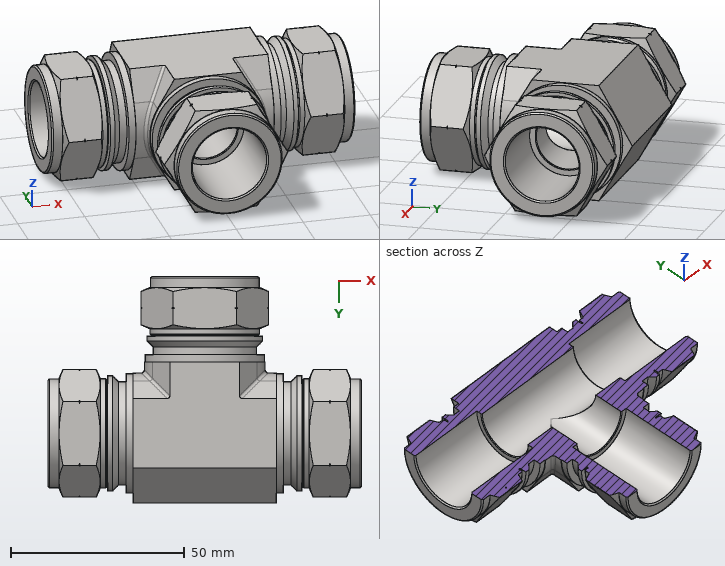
import cadquery as cq
import math

ARM_LENGTH = 45.3

BODY_FLATS = 34.9
BODY_REACH = 20.6
MITRE_FILLET = 0.9

SHOULDER_DIAMETER = 34.5
SHOULDER_END = 22.7
NECK_DIAMETER = 29.9
NECK_END = 24.9
RING_DIAMETER = 33.4
RING_END = 28.1
GROOVE_DIAMETER = 28.6

COLLAR_DIAMETER = 31.7
COLLAR_START = 28.3
COLLAR_CHAMFER = 0.4
NUT_FLATS = 32.0
NUT_START = 30.15
NUT_END = 42.1
NUT_CHAMFER = 1.2
NOTCH_DEPTH = 0.3
NOTCH_WIDTH = 0.4
RIM_DIAMETER = 31.5
RIM_CHAMFER = 0.45

FLOW_DIAMETER = 18.3
FLOW_CHAMFER = 0.3
SOCKET_DIAMETER = 22.2
SOCKET_DEPTH = 25.9
MOUTH_CHAMFER = 0.45

body_radius = BODY_FLATS / 2
body_corner = BODY_FLATS / math.sqrt(3)
nut_corner = NUT_FLATS / math.sqrt(3)


def hexagon_bar(round_both_sides):
    """Bar along +X with flats up and down; its -Y corner, or both side corners, are rounded."""
    tangent_y = body_radius * math.cos(math.radians(30))
    tangent_z = body_radius * math.sin(math.radians(30))
    outline = (
        cq.Workplane("YZ")
        .moveTo(body_corner / 2, body_radius)
        .lineTo(-body_corner / 2, body_radius)
        .lineTo(-tangent_y, tangent_z)
        .threePointArc((-body_radius, 0), (-tangent_y, -tangent_z))
        .lineTo(-body_corner / 2, -body_radius)
        .lineTo(body_corner / 2, -body_radius)
    )
    if round_both_sides:
        outline = outline.lineTo(tangent_y, -tangent_z)
        outline = outline.threePointArc((body_radius, 0), (tangent_y, tangent_z))
    else:
        outline = outline.lineTo(body_corner, 0)
    return outline.close().extrude(BODY_REACH)


def to_branch(shape):
    """Turn an arm that points to +X so that it points to -Y."""
    return shape.rotate((0, 0, 0), (0, 0, 1), -90)


def revolve_arm(points):
    """Revolve a list of (position along the arm, radius) about the X axis."""
    return cq.Workplane("XY").polyline(points).close().revolve(360, (0, 0, 0), (1, 0, 0))


def body():
    """Run and branch bars with filleted inside corners."""
    half_run = hexagon_bar(round_both_sides=False)
    run = half_run.union(half_run.mirror("YZ")).clean()
    branch = to_branch(hexagon_bar(round_both_sides=True))
    tee = run.union(branch)
    inner = body_corner / 2 - MITRE_FILLET
    outer = BODY_REACH - MITRE_FILLET
    for side in (-1, 1):
        beside_branch = cq.selectors.BoxSelector(
            (side * inner, -inner, -BODY_FLATS),
            (side * outer, -outer, BODY_FLATS),
        )
        tee = tee.edges(beside_branch).edges("not(|X or |Y)").fillet(MITRE_FILLET)
    return tee


def turned_end():
    """Shoulder, neck, flared ring and groove between the body and the nut."""
    shoulder = SHOULDER_DIAMETER / 2
    neck = NECK_DIAMETER / 2
    ring = RING_DIAMETER / 2
    groove = GROOVE_DIAMETER / 2
    flare_end = NECK_END + ring - neck
    return revolve_arm([
        (0, 0),
        (0, neck),
        (BODY_REACH, neck),
        (BODY_REACH, shoulder),
        (SHOULDER_END, shoulder),
        (SHOULDER_END, neck),
        (NECK_END, neck),
        (flare_end, ring),
        (RING_END, ring),
        (RING_END, groove),
        (NUT_START, groove),
        (NUT_START, 0),
    ])


def nut():
    """Hexagonal nut with chamfered and notched corners, an inner collar and an outer rim."""
    collar = COLLAR_DIAMETER / 2
    rim = RIM_DIAMETER / 2
    hexagon = (
        cq.Workplane("YZ", origin=(NUT_START, 0, 0))
        .polygon(6, 2 * nut_corner)
        .extrude(NUT_END - NUT_START)
    )
    chamfer_envelope = revolve_arm([
        (NUT_START, 0),
        (NUT_START, collar),
        (NUT_START + NUT_CHAMFER, nut_corner),
        (NUT_END - NUT_CHAMFER, nut_corner),
        (NUT_END, collar),
        (NUT_END, 0),
    ])
    middle = (NUT_START + NUT_END) / 2
    corner_notches = revolve_arm([
        (middle - NOTCH_WIDTH / 2, nut_corner),
        (middle, nut_corner - NOTCH_DEPTH),
        (middle + NOTCH_WIDTH / 2, nut_corner),
    ])
    turned = revolve_arm([
        (COLLAR_START, 0),
        (COLLAR_START, collar - COLLAR_CHAMFER),
        (COLLAR_START + COLLAR_CHAMFER, collar),
        (NUT_START, collar),
        (NUT_START, rim),
        (ARM_LENGTH - RIM_CHAMFER, rim),
        (ARM_LENGTH, rim - RIM_CHAMFER),
        (ARM_LENGTH, 0),
    ])
    return hexagon.intersect(chamfer_envelope).cut(corner_notches).union(turned)


def bore():
    """Flow passage that opens into a tube socket with a chamfered mouth."""
    flow = FLOW_DIAMETER / 2
    socket = SOCKET_DIAMETER / 2
    seat = ARM_LENGTH - SOCKET_DEPTH
    return revolve_arm([
        (0, 0),
        (0, flow),
        (seat - FLOW_CHAMFER, flow),
        (seat, flow + FLOW_CHAMFER),
        (seat, socket),
        (ARM_LENGTH - MOUTH_CHAMFER, socket),
        (ARM_LENGTH, socket + MOUTH_CHAMFER),
        (ARM_LENGTH, 0),
    ])


def on_all_arms(shape):
    """Copies of a +X arm shape for both ends of the run and for the branch."""
    return [shape, shape.mirror("YZ"), to_branch(shape)]


result = body()
for fitting in on_all_arms(turned_end().union(nut())):
    result = result.union(fitting)
for passage in on_all_arms(bore()):
    result = result.cut(passage)